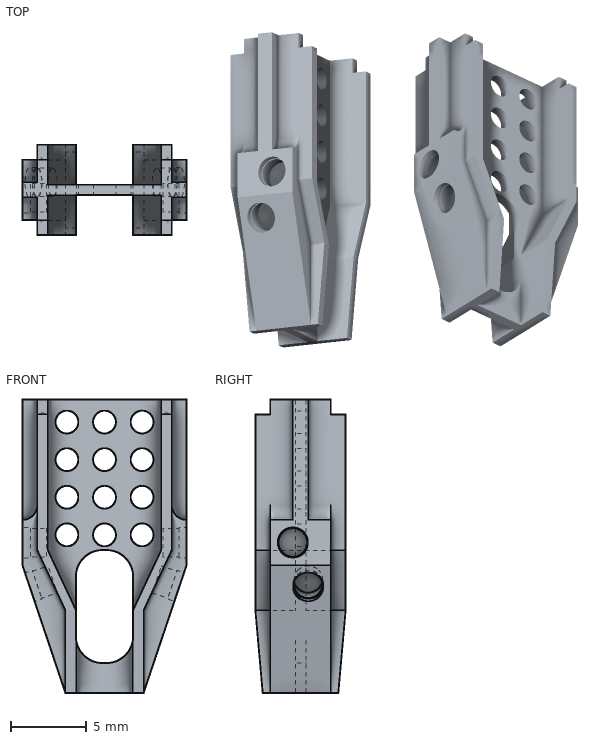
import cadquery as cq
import math

height = 19.5
width = 10.9
depth = 6.0

wall = 0.7
upper_wall_x = 4.47
foot_x = 2.6
bend_top_z = 9.5
bend_bottom_z = 5.5
foot_depth = 5.03
notch_height = 1.0

block_depth = 4.02
block_top_z = 11.5
block_taper_z = 8.48
fin_depth = 1.01
fillet_radius = width / 2 - upper_wall_x

web = 0.7
slot_bottom_z = 2.0
slot_top_z = 9.5
slot_width = 2 * (foot_x - wall)
slot_corner_radius = 1.75
hole_diameter = 1.5
hole_pitch = 2.5
hole_columns = 3
hole_rows = 4
top_hole_row_z = 18.0

mouth_diameter = 2.0
seat_diameter = 1.9
mouth_depth = 0.5
socket_depth = 1.6
socket_offset_y = 0.5
upper_socket_z = 10.0
lower_socket_z = 7.05


def extrude_across_y(sketch, thickness):
    """Extrude an XZ sketch equally to both sides of the Y = 0 plane."""
    return sketch.extrude(thickness / 2, both=True)


def make_wall():
    """Bent left wall, notched at the top and tapered in depth at the foot."""
    bent_strip = extrude_across_y(
        cq.Workplane("XZ").polyline([
            (-upper_wall_x, height),
            (-upper_wall_x, bend_top_z),
            (-foot_x, bend_bottom_z),
            (-foot_x, 0),
            (wall - foot_x, 0),
            (wall - foot_x, bend_bottom_z),
            (wall - upper_wall_x, bend_top_z),
            (wall - upper_wall_x, height),
        ]).close(),
        depth,
    )
    shoulder_z = height - notch_height
    side_outline = (
        cq.Workplane("YZ").polyline([
            (-foot_depth / 2, 0),
            (foot_depth / 2, 0),
            (depth / 2, bend_bottom_z),
            (depth / 2, shoulder_z),
            (block_depth / 2, shoulder_z),
            (block_depth / 2, height),
            (-block_depth / 2, height),
            (-block_depth / 2, shoulder_z),
            (-depth / 2, shoulder_z),
            (-depth / 2, bend_bottom_z),
        ]).close().extrude(width / 2, both=True)
    )
    return bent_strip.intersect(side_outline)


def make_block():
    """Left magnet block, blended into the wall by a concave arc on top."""
    arc_offset = fillet_radius * math.sqrt(0.5)
    arc_center_z = block_top_z + fillet_radius
    outline = (
        cq.Workplane("XZ")
        .moveTo(-foot_x, 0)
        .lineTo(-width / 2, block_taper_z)
        .lineTo(-width / 2, block_top_z)
        .threePointArc(
            (arc_offset - width / 2, arc_center_z - arc_offset),
            (-upper_wall_x, arc_center_z),
        )
        .lineTo(-upper_wall_x, bend_top_z)
        .lineTo(-foot_x, bend_bottom_z)
        .close()
    )
    return extrude_across_y(outline, block_depth)


def make_fin():
    """Left fin running from the block to the top of the wall."""
    outline = cq.Workplane("XZ").polyline([
        (-width / 2, bend_top_z),
        (-upper_wall_x, bend_top_z),
        (-upper_wall_x, height),
        (-width / 2, height),
    ]).close()
    return extrude_across_y(outline, fin_depth)


def make_socket(mouth_center, inward):
    """Stepped round cutter starting at mouth_center and pointing inward."""
    start = cq.Vector(*mouth_center)
    direction = cq.Vector(*inward)
    mouth = cq.Solid.makeCylinder(mouth_diameter / 2, mouth_depth, start, direction)
    seat = cq.Solid.makeCylinder(seat_diameter / 2, socket_depth, start, direction)
    return cq.Workplane(mouth).union(cq.Workplane(seat))


def make_side():
    """Left wall with its block and fin."""
    return make_wall().union(make_block()).union(make_fin())


def make_side_sockets():
    """Cutters for both magnet sockets of the left side."""
    upper_socket = make_socket((-width / 2, -socket_offset_y, upper_socket_z), (1, 0, 0))
    taper_run = width / 2 - foot_x
    lower_socket_x = -foot_x - taper_run * lower_socket_z / block_taper_z
    lower_socket = make_socket(
        (lower_socket_x, socket_offset_y, lower_socket_z),
        (block_taper_z, 0, taper_run),
    )
    return upper_socket.union(lower_socket)


def make_web():
    """Thin plate joining the two sides, with a slot and a grid of holes."""
    outline = cq.Workplane("XZ").polyline([
        (-foot_x + wall / 2, 0),
        (foot_x - wall / 2, 0),
        (foot_x - wall / 2, bend_bottom_z),
        (upper_wall_x - wall / 2, bend_top_z),
        (upper_wall_x - wall / 2, height),
        (-upper_wall_x + wall / 2, height),
        (-upper_wall_x + wall / 2, bend_top_z),
        (-foot_x + wall / 2, bend_bottom_z),
    ]).close()
    plate = extrude_across_y(outline, web)
    slot = (
        cq.Workplane("XY")
        .box(slot_width, web, slot_top_z - slot_bottom_z)
        .edges("|Y").fillet(slot_corner_radius)
        .translate((0, 0, (slot_top_z + slot_bottom_z) / 2))
    )
    grid_center_z = top_hole_row_z - hole_pitch * (hole_rows - 1) / 2
    holes = extrude_across_y(
        cq.Workplane("XZ", origin=(0, 0, grid_center_z))
        .rarray(hole_pitch, hole_pitch, hole_columns, hole_rows)
        .circle(hole_diameter / 2),
        web,
    )
    return plate.cut(slot).cut(holes)


left_side = make_side()
left_sockets = make_side_sockets()
body = make_web().union(left_side).union(left_side.mirror("YZ"))
result = body.cut(left_sockets).cut(left_sockets.mirror("YZ"))